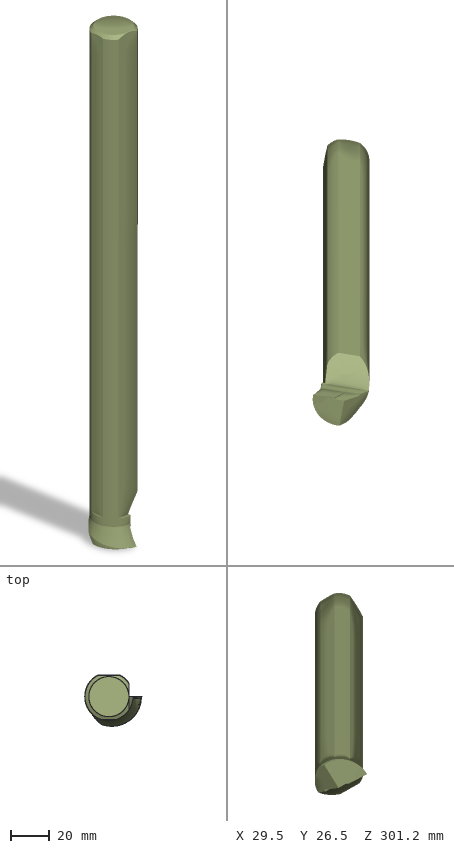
import cadquery as cq
import math

LENGTH = 301.2
OVERALL_WIDTH = 29.5
BAR_DIAMETER = 25.0
BAR_RADIUS = BAR_DIAMETER / 2
FLAT_FRONT = 11.7
FLAT_BACK = 11.0
FLAT_RIGHT = 10.5
FLAT_END = 17.0
CHAMFER_RADIAL = 2.0
CHAMFER_HEIGHT = 1.8

HEAD_BOTTOM = 1.0
FLARE_TOP = 12.0
FLARE_RADIUS = 17.2
HEAD_RADIUS = 15.5
HEAD_SHIFT = 1.5
SLANT_TOP = 16.3
SLANT_BOTTOM_X = 0.3

RELIEF_TOP = 32.8
RELIEF_BOTTOM = 16.5
RELIEF_BEND_Y = 4.0
RELIEF_BEND_Z = 23.2

TIP_X = OVERALL_WIDTH - BAR_RADIUS
INSERT_EDGE = 11.7
INSERT_ANGLE = 55.0
LEAD_ANGLE = 62.0
INSERT_THICKNESS = 4.0
CLEARANCE_ANGLE = 7.0
INSERT_TILT = 4.0
SEAT_TOP = 10.8
SEAT_DEPTH = 1.0

MARGIN = 30.0


def block(x_min, x_max, y_min, y_max, z_min, z_max):
    size = (x_max - x_min, y_max - y_min, z_max - z_min)
    return cq.Workplane().box(*size, centered=False).translate((x_min, y_min, z_min))


def make_shank():
    """Round bar with a chamfered top and three long flats."""
    shank = (
        cq.Workplane("XZ")
        .moveTo(0, HEAD_BOTTOM)
        .lineTo(BAR_RADIUS, HEAD_BOTTOM)
        .lineTo(BAR_RADIUS, LENGTH - CHAMFER_HEIGHT)
        .lineTo(BAR_RADIUS - CHAMFER_RADIAL, LENGTH)
        .lineTo(0, LENGTH)
        .close()
        .revolve(360, (0, 0), (0, 1))
    )
    front = block(-MARGIN, MARGIN, -MARGIN, -FLAT_FRONT, FLAT_END, LENGTH)
    back = block(-MARGIN, MARGIN, FLAT_BACK, MARGIN, FLAT_END, LENGTH)
    right = block(FLAT_RIGHT, MARGIN, -MARGIN, MARGIN, FLAT_END, LENGTH)
    return shank.cut(front).cut(back).cut(right)


def make_flare():
    """Cone widening downward, limited by an offset upright cylinder."""
    cone = (
        cq.Workplane("XY")
        .circle(FLARE_RADIUS)
        .workplane(offset=FLARE_TOP)
        .circle(BAR_RADIUS)
        .loft()
    )
    limit = (
        cq.Workplane("XY", origin=(HEAD_SHIFT, 0, HEAD_BOTTOM))
        .circle(HEAD_RADIUS)
        .extrude(FLARE_TOP)
    )
    return cone.intersect(limit)


def make_slant_cut():
    """Wedge that bevels the side of the head opposite the insert tip."""
    slope = (SLANT_TOP - HEAD_BOTTOM) / (SLANT_BOTTOM_X + BAR_RADIUS)
    outer_x = -BAR_RADIUS - MARGIN
    return (
        cq.Workplane("XZ")
        .moveTo(SLANT_BOTTOM_X, HEAD_BOTTOM)
        .lineTo(outer_x, SLANT_TOP + slope * MARGIN)
        .lineTo(outer_x, HEAD_BOTTOM)
        .close()
        .extrude(MARGIN, both=True)
    )


def make_relief_cut():
    """Sloping run-out that curves into the flat cutting face."""
    return (
        cq.Workplane("YZ")
        .moveTo(0, HEAD_BOTTOM)
        .lineTo(0, RELIEF_BOTTOM)
        .spline(
            [(RELIEF_BEND_Y, RELIEF_BEND_Z), (FLAT_BACK, RELIEF_TOP)],
            includeCurrent=True,
        )
        .lineTo(MARGIN, RELIEF_TOP)
        .lineTo(MARGIN, HEAD_BOTTOM)
        .close()
        .extrude(MARGIN, both=True)
    )


def make_seat_cut():
    """Shallow step across the cutting face around the insert."""
    return block(-MARGIN, MARGIN, -SEAT_DEPTH, MARGIN, HEAD_BOTTOM, SEAT_TOP)


def make_insert():
    """Rhombus narrowing away from its cutting face by the clearance angle."""
    lead = math.radians(180 - LEAD_ANGLE)
    trail = math.radians(180 - LEAD_ANGLE + INSERT_ANGLE)
    lead_step = (INSERT_EDGE * math.cos(lead), INSERT_EDGE * math.sin(lead))
    trail_step = (INSERT_EDGE * math.cos(trail), INSERT_EDGE * math.sin(trail))
    lead_corner = (TIP_X + lead_step[0], lead_step[1])
    trail_corner = (TIP_X + trail_step[0], trail_step[1])
    far_corner = (lead_corner[0] + trail_step[0], lead_corner[1] + trail_step[1])
    return (
        cq.Workplane("XZ")
        .polyline([(TIP_X, 0), lead_corner, far_corner, trail_corner])
        .close()
        .extrude(INSERT_THICKNESS, taper=CLEARANCE_ANGLE)
        .rotate((0, 0, 0), (1, 0, 0), INSERT_TILT)
    )


insert = make_insert()
bar = make_shank().union(make_flare())
bar = bar.cut(make_slant_cut()).cut(make_relief_cut()).cut(make_seat_cut()).cut(insert)

result = cq.Compound.makeCompound([bar.val(), insert.val()])